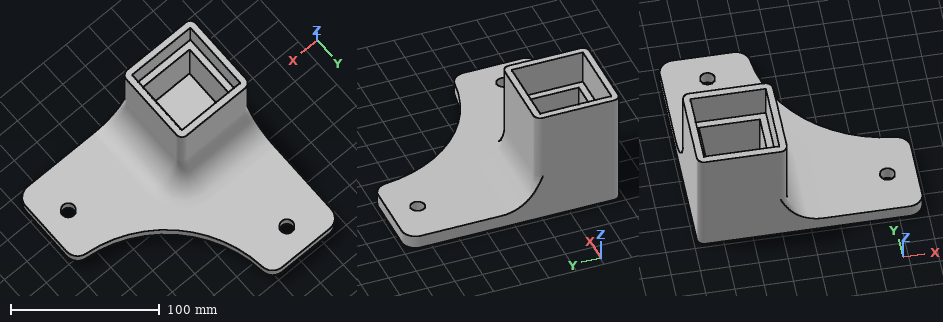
import cadquery as cq
import math

plate_side = 155.0
total_height = 85.0
plate_thickness = 10.0
plate_corner_radius = 10.0

tower_side = 61.5
tower_corner_radius = 5.0
wall = 5.0
socket_depth = 25.0
ledge_width = 5.0
base_fillet_radius = 25.0

hole_diameter = 10.0
hole_end_distance = 20.0


def make_plate():
    """L-shaped plate whose arms are joined by a concave quarter circle."""
    scoop_radius = plate_side - tower_side
    scoop_middle = plate_side - scoop_radius * math.sqrt(0.5)
    plate = (
        cq.Workplane("XY")
        .lineTo(plate_side, 0)
        .lineTo(plate_side, tower_side)
        .threePointArc((scoop_middle, scoop_middle), (tower_side, plate_side))
        .lineTo(0, plate_side)
        .close()
        .extrude(plate_thickness)
    )
    outer_corners = plate.edges("|Z").edges(">X or >Y")
    plate = outer_corners.fillet(plate_corner_radius)
    return plate.edges("|Z and <X and <Y").fillet(tower_corner_radius)


def make_tower():
    return (
        cq.Workplane("XY")
        .rect(tower_side, tower_side)
        .extrude(total_height)
        .edges("|Z")
        .fillet(tower_corner_radius)
        .translate((tower_side / 2, tower_side / 2, 0))
    )


def flare_profile(plane):
    """Concave section of the tower foot, measured outward from a corner's round centre."""
    foot_reach = tower_corner_radius + base_fillet_radius
    foot_top = plate_thickness + base_fillet_radius
    inset = base_fillet_radius * (1 - math.sqrt(0.5))
    return (
        cq.Workplane(plane)
        .lineTo(foot_reach, 0)
        .lineTo(foot_reach, plate_thickness)
        .threePointArc(
            (tower_corner_radius + inset, plate_thickness + inset),
            (tower_corner_radius, foot_top),
        )
        .lineTo(0, foot_top)
        .close()
    )


def make_flare():
    """Fillet between tower and plate, cut flush with the two outer plate sides."""
    near = tower_corner_radius
    far = tower_side - tower_corner_radius
    straight = far - near

    along_y = flare_profile("XZ").extrude(-straight).translate((far, near, 0))
    along_x = flare_profile("YZ").extrude(straight).translate((near, far, 0))
    flare = along_y.union(along_x)

    corner = flare_profile("XZ").revolve(360, (0, 0, 0), (0, 1, 0))
    for x, y in [(near, far), (far, far), (far, near)]:
        flare = flare.union(corner.translate((x, y, 0)))

    plate_block = cq.Workplane("XY").box(plate_side, plate_side, total_height, centered=False)
    return flare.intersect(plate_block)


def square_pocket(margin, bottom):
    """Square cutter, inset from the tower sides, from a given height to the tower top."""
    side = tower_side - 2 * margin
    cutter = cq.Workplane("XY").box(side, side, total_height - bottom, centered=False)
    return cutter.translate((margin, margin, bottom))


body = make_plate().union(make_flare()).union(make_tower())

body = body.cut(square_pocket(wall, total_height - socket_depth))
body = body.cut(square_pocket(wall + ledge_width, plate_thickness))

hole_far = plate_side - hole_end_distance
hole_near = tower_side / 2
holes = (
    cq.Workplane("XY")
    .pushPoints([(hole_near, hole_far), (hole_far, hole_near)])
    .circle(hole_diameter / 2)
    .extrude(plate_thickness)
)

result = body.cut(holes)